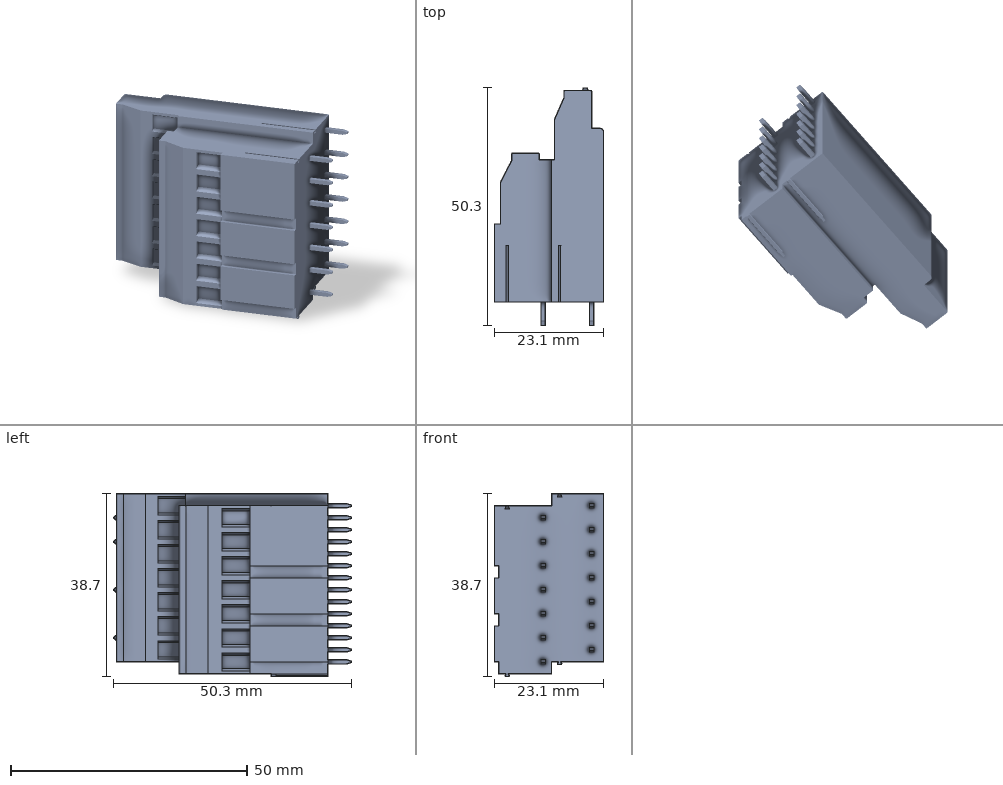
import cadquery as cq


POLES = 7
PITCH = 5.08
HOUSING_HEIGHT = POLES * PITCH
TALL_LIFT = PITCH / 2

SEAM_X = 12.1
TOTAL_WIDTH = 23.1
LOW_STEP_Y = 16.5
LOW_STEP_DEPTH = 1.25
LOW_SHOULDER_Y = 30.1
LOW_TOP_Y = 31.5
LOW_REAR_X = 9.5
TALL_STEP_DEPTH = 0.55
TALL_FACE_X = SEAM_X + TALL_STEP_DEPTH
TALL_TOP_Y = 44.75
TALL_REAR_X = 20.6
TALL_SHOULDER_Y = 36.75
SLOPE_START_DROP = 6.2
SLOPE_END_DROP = 1.5
SLOPE_RUN = 2.4
TALL_SLOPE_RUN = 2.05
FRONT_ROUND = 0.2
REAR_ROUND = 0.3
SHOULDER_ROUND = 0.8

NOTCH_DEPTH = 0.88
NOTCH_HEIGHT = PITCH / 2
NOTCH_LEVELS = (0, 2 * PITCH, 4 * PITCH)

WINDOW_LENGTH = 5.85
WINDOW_MOUTH = 3.85
LOW_WINDOW_DEPTH = 1.45
LOW_WINDOW_FLOOR = 2.8
TALL_WINDOW_DEPTH = 0.8
TALL_WINDOW_FLOOR = 3.03

PIN_X = (10.3, 20.54)
PIN_WIDTH = 0.95
PIN_HEIGHT = 0.9
PIN_LENGTH = 5.0
PIN_TIP_LENGTH = 1.0
PIN_TIP_THICKNESS = 0.3

RIB_X = (2.7, 13.77)
RIB_LENGTH = 12.0
RIB_LEAD_LENGTH = 1.05
RIB_NECK = 0.5
RIB_HIP = 0.95
RIB_HIP_DROP = 0.35
RIB_BASE = 0.75
RIB_DROP = 0.6
GROOVE_MOUTH = 0.45
GROOVE_FLOOR = 0.95
GROOVE_DEPTH = 0.65

BUMP_X = 19.2
BUMP_RADIUS = 0.6
BUMP_RIDGE_HALF_LENGTH = 0.42
BUMP_RIDGE_HALF_WIDTH = 0.1
BUMP_HEIGHT = 0.55
BUMP_POLES = (1, 3, 5, 6)

BITE = 0.2


def extrude_up(outline, base_z):
    """Housing body from an XY outline."""
    return cq.Workplane("XY").workplane(offset=base_z).polyline(outline).close().extrude(HOUSING_HEIGHT)


def round_corner(body, x, y, radius):
    """Round the vertical edge standing at (x, y)."""
    reach = 0.05
    picker = cq.selectors.BoxSelector(
        (x - reach, y - reach, -HOUSING_HEIGHT), (x + reach, y + reach, 2 * HOUSING_HEIGHT)
    )
    return body.edges("|Z").edges(picker).fillet(radius)


def low_housing():
    face_x = LOW_STEP_DEPTH
    outline = [
        (0, 0),
        (0, LOW_STEP_Y),
        (face_x, LOW_STEP_Y),
        (face_x, LOW_TOP_Y - SLOPE_START_DROP),
        (face_x + SLOPE_RUN, LOW_TOP_Y - SLOPE_END_DROP),
        (face_x + SLOPE_RUN, LOW_TOP_Y),
        (LOW_REAR_X, LOW_TOP_Y),
        (LOW_REAR_X, LOW_SHOULDER_Y),
        (SEAM_X, LOW_SHOULDER_Y),
        (SEAM_X, 0),
    ]
    body = extrude_up(outline, 0)
    body = round_corner(body, face_x + SLOPE_RUN, LOW_TOP_Y, FRONT_ROUND)
    body = round_corner(body, LOW_REAR_X, LOW_TOP_Y, REAR_ROUND)
    for level in NOTCH_LEVELS:
        notch = cq.Workplane("XY").box(NOTCH_DEPTH, LOW_STEP_Y, NOTCH_HEIGHT, centered=False)
        body = body.cut(notch.translate((0, 0, level)))
    return body


def tall_housing():
    face_x = TALL_FACE_X
    outline = [
        (SEAM_X, 0),
        (SEAM_X, LOW_SHOULDER_Y),
        (face_x, LOW_SHOULDER_Y),
        (face_x, TALL_TOP_Y - SLOPE_START_DROP),
        (face_x + TALL_SLOPE_RUN, TALL_TOP_Y - SLOPE_END_DROP),
        (face_x + TALL_SLOPE_RUN, TALL_TOP_Y),
        (TALL_REAR_X, TALL_TOP_Y),
        (TALL_REAR_X, TALL_SHOULDER_Y),
        (TOTAL_WIDTH, TALL_SHOULDER_Y),
        (TOTAL_WIDTH, 0),
    ]
    body = extrude_up(outline, TALL_LIFT)
    body = round_corner(body, face_x + TALL_SLOPE_RUN, TALL_TOP_Y, FRONT_ROUND)
    body = round_corner(body, TALL_REAR_X, TALL_TOP_Y, REAR_ROUND)
    return round_corner(body, TOTAL_WIDTH, TALL_SHOULDER_Y, SHOULDER_ROUND)


def pole_z(pole, base_z):
    return base_z + (pole + 0.5) * PITCH


def window(face_x, start_y, depth, floor, z):
    """Pocket into a wire-entry face, with walls above and below leaning inwards."""
    outline = [
        (face_x, z - WINDOW_MOUTH / 2),
        (face_x, z + WINDOW_MOUTH / 2),
        (face_x + depth, z + floor / 2),
        (face_x + depth, z - floor / 2),
    ]
    return cq.Workplane("XZ", origin=(0, start_y, 0)).polyline(outline).close().extrude(-WINDOW_LENGTH)


def solder_pin(x, z):
    """Pin pointing to -Y, thinned to a wedge at its tip."""
    half = PIN_HEIGHT / 2
    tip_half = PIN_TIP_THICKNESS / 2
    taper_y = PIN_TIP_LENGTH - PIN_LENGTH
    outline = [
        (BITE, z - half),
        (BITE, z + half),
        (taper_y, z + half),
        (-PIN_LENGTH, z + tip_half),
        (-PIN_LENGTH, z - tip_half),
        (taper_y, z - half),
    ]
    return cq.Workplane("YZ", origin=(x - PIN_WIDTH / 2, 0, 0)).polyline(outline).close().extrude(PIN_WIDTH)


def rib(x, z):
    """Rib hanging below z: flared section, then a plain neck at its far end."""
    outline = [
        (x - RIB_NECK / 2, z + BITE),
        (x - RIB_NECK / 2, z),
        (x - RIB_HIP / 2, z - RIB_HIP_DROP),
        (x - RIB_BASE / 2, z - RIB_DROP),
        (x + RIB_BASE / 2, z - RIB_DROP),
        (x + RIB_HIP / 2, z - RIB_HIP_DROP),
        (x + RIB_NECK / 2, z),
        (x + RIB_NECK / 2, z + BITE),
    ]
    flared = cq.Workplane("XZ").polyline(outline).close().extrude(RIB_LEAD_LENGTH - RIB_LENGTH)
    neck = cq.Workplane("XY").box(RIB_NECK, RIB_LENGTH, RIB_DROP + BITE, centered=False)
    return flared.union(neck.translate((x - RIB_NECK / 2, 0, z - RIB_DROP)))


def groove(x, z):
    """Dovetail groove sunk below z."""
    outline = [
        (x - GROOVE_MOUTH / 2, z),
        (x - GROOVE_FLOOR / 2, z - GROOVE_DEPTH),
        (x + GROOVE_FLOOR / 2, z - GROOVE_DEPTH),
        (x + GROOVE_MOUTH / 2, z),
    ]
    return cq.Workplane("XZ").polyline(outline).close().extrude(-RIB_LENGTH)


def marker_bump(z):
    """Bump on the tall housing's end face, round at its foot and narrowing to a ridge along X."""
    foot = cq.Workplane("XZ", origin=(BUMP_X, TALL_TOP_Y, z)).circle(BUMP_RADIUS)
    ridge = foot.workplane(offset=-BUMP_HEIGHT).ellipse(BUMP_RIDGE_HALF_LENGTH, BUMP_RIDGE_HALF_WIDTH)
    return ridge.loft()


result = low_housing().union(tall_housing())

for pole in range(POLES):
    low_z = pole_z(pole, 0)
    tall_z = pole_z(pole, TALL_LIFT)
    result = result.cut(window(LOW_STEP_DEPTH, LOW_STEP_Y, LOW_WINDOW_DEPTH, LOW_WINDOW_FLOOR, low_z))
    result = result.cut(window(TALL_FACE_X, LOW_SHOULDER_Y, TALL_WINDOW_DEPTH, TALL_WINDOW_FLOOR, tall_z))
    result = result.union(solder_pin(PIN_X[0], low_z))
    result = result.union(solder_pin(PIN_X[1], tall_z))

for x, base_z in zip(RIB_X, (0, TALL_LIFT)):
    result = result.union(rib(x, base_z))
    result = result.cut(groove(x, base_z + HOUSING_HEIGHT))

for pole in BUMP_POLES:
    result = result.union(marker_bump(pole_z(pole, 0)))